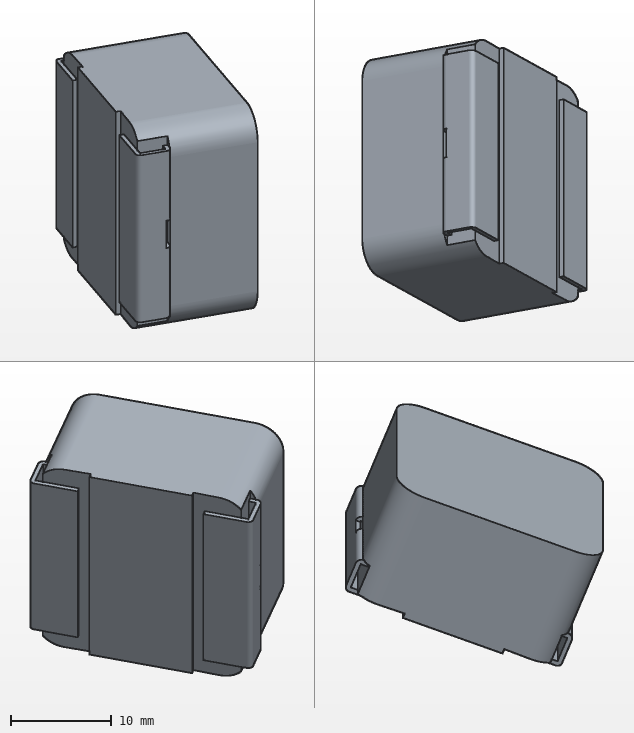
import cadquery as cq

total_depth = 13.0
body_width = 22.0
body_height = 22.5
corner_radius = 3.0

base_width = 20.5
base_back = 3.7

pad_width = 10.6
pad_front = 0.1
floor_outer = 0.5
floor_inner = 0.6

terminal_span = 23.0
terminal_height = 18.5
terminal_thickness = 0.5
terminal_foot = 5.0
foot_bend_radius = 0.5
tab_bend_radius = 0.6
notch_height = 3.0


def make_body():
    """Round-cornered block that fills the depth behind the base."""
    return (
        cq.Workplane("XZ", origin=(0, total_depth, 0))
        .rect(body_width, body_height)
        .extrude(total_depth - pad_front)
        .edges("|Y")
        .fillet(corner_radius)
    )


def make_base_envelope():
    """Stepped section, extruded over the full height, that trims the front of the body."""
    side = base_width / 2
    pad = pad_width / 2
    back = body_width / 2
    outline = [
        (-back, total_depth),
        (-back, base_back),
        (-side, base_back),
        (-side, floor_outer),
        (-pad, floor_inner),
        (-pad, pad_front),
        (pad, pad_front),
        (pad, floor_inner),
        (side, floor_outer),
        (side, base_back),
        (back, base_back),
        (back, total_depth),
    ]
    return cq.Workplane("XY").polyline(outline).close().extrude(body_height / 2, both=True)


def make_left_terminal():
    """Bent strip: a foot on the mounting plane, an upright and a tab into the base."""
    outer = -terminal_span / 2
    inner = outer + terminal_thickness
    tab_end = -base_width / 2
    outline = [
        (outer, 0),
        (outer + terminal_foot, 0),
        (outer + terminal_foot, terminal_thickness),
        (inner, terminal_thickness),
        (inner, base_back - terminal_thickness),
        (tab_end, base_back - terminal_thickness),
        (tab_end, base_back),
        (outer, base_back),
    ]
    strip = cq.Workplane("XY").polyline(outline).close().extrude(terminal_height / 2, both=True)
    strip = strip.edges("<X and <Y").fillet(foot_bend_radius)
    strip = strip.edges(">Y").edges("<X").fillet(tab_bend_radius)
    notch = cq.Workplane("XY").box(
        tab_end - outer, tab_bend_radius, notch_height, centered=(False, False, True)
    )
    return strip.cut(notch.translate((outer, base_back - tab_bend_radius, 0)))


left_terminal = make_left_terminal()
right_terminal = left_terminal.mirror("YZ")

result = make_body().intersect(make_base_envelope()).union(left_terminal).union(right_terminal)